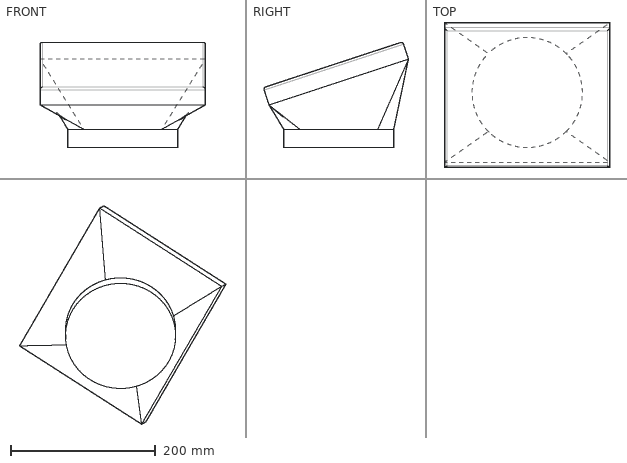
import cadquery as cq
import math

collar_diameter = 152.5
collar_height = 25.4

plate_width = 228.5
plate_depth = 203.2
plate_thickness = 25.4
plate_edge_radius = 3.7
plate_tilt = 18.2
plate_centre_height = 90.8

tilt = math.radians(plate_tilt)
plate_plane = cq.Plane(
    origin=(0, 0, plate_centre_height),
    xDir=(1, 0, 0),
    normal=(0, -math.sin(tilt), math.cos(tilt)),
)


def make_collar():
    return cq.Workplane("XY").circle(collar_diameter / 2).extrude(collar_height)


def make_plate():
    """Rectangular slab with the edges of its upper face rounded."""
    slab = cq.Workplane(plate_plane).rect(plate_width, plate_depth).extrude(plate_thickness)
    upper_face = cq.selectors.DirectionMinMaxSelector(plate_plane.zDir)
    return slab.faces(upper_face).edges().fillet(plate_edge_radius)


def collar_rim_wire():
    """Rim of the collar as four quarter arcs, one facing each side of the plate."""
    radius = collar_diameter / 2
    diagonal = radius * math.sqrt(0.5)
    return (
        cq.Workplane("XY", origin=(0, 0, collar_height))
        .moveTo(-diagonal, -diagonal)
        .threePointArc((0, -radius), (diagonal, -diagonal))
        .threePointArc((radius, 0), (diagonal, diagonal))
        .threePointArc((0, radius), (-diagonal, diagonal))
        .threePointArc((-radius, 0), (-diagonal, -diagonal))
        .close()
        .val()
    )


def plate_outline_wire():
    """Outline of the plate's underside, starting at its front left corner."""
    return (
        cq.Workplane(plate_plane)
        .moveTo(-plate_width / 2, -plate_depth / 2)
        .lineTo(plate_width / 2, -plate_depth / 2)
        .lineTo(plate_width / 2, plate_depth / 2)
        .lineTo(-plate_width / 2, plate_depth / 2)
        .close()
        .val()
    )


def make_transition():
    """Ruled round-to-rectangle body between the collar and the plate."""
    return cq.Workplane(cq.Solid.makeLoft([collar_rim_wire(), plate_outline_wire()], True))


collar = make_collar()
transition = make_transition()
plate = make_plate()

result = cq.Compound.makeCompound([collar.val(), transition.val(), plate.val()])